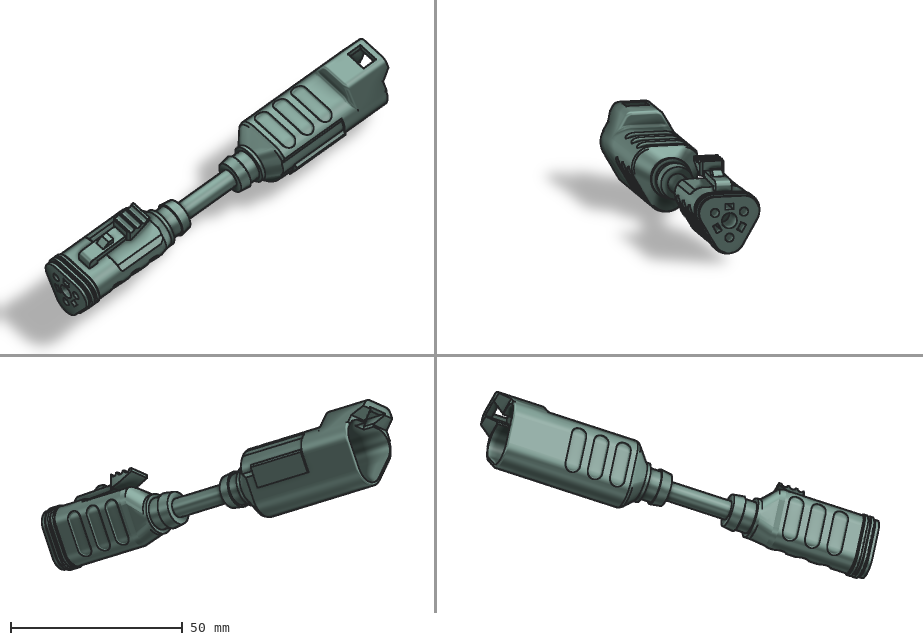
import cadquery as cq
import math


cable_diameter = 5.7
neck_diameter = 9.6
collar_diameter = 12.0
flange_diameter = 10.8
flange_tip_diameter = 9.8
collar_length = 1.2
flange_length = 3.3

corner_distance = 5.0
plug_corner_radius = 4.8
socket_corner_radius = 6.1
plug_center_z = 1.7
flat_distance = corner_distance / 2

plug_body_start = 5.0
plug_body_end = 29.6
plug_shoulder_end = 31.3
plug_taper_end = 35.7
plug_flange_start = 40.8
shoulder_inset = 0.42

seal_ring_starts = (1.8, 3.7)
seal_ring_width = 1.0
seal_ring_rise = 0.4
lip_length = 1.2
lip_inset = 0.1
seal_groove_depth = 0.5

face_hole_depth = 9.6
center_hole_diameter = 4.5
contact_hole_diameter = 2.5
key_slot_width = 2.5
key_slot_height = 1.7
key_slot_distance = 4.2

step_start = 14.2
step_z = 7.9
step_flat_width = 12.7
step_slope_width = 3.6
step_slope_angle = 27
step_corner_radius = 0.7

latch_top_z = 15.2
latch_arm_width = 4.8
latch_foot_start = 7.0
latch_foot_end = 10.3
latch_foot_z = 8.6
latch_foot_top_z = 10.0
latch_foot_radius = 1.5
latch_arm_front_z = 12.0
latch_arm_back_z = 12.4
latch_arm_bend = 19.6
latch_arm_bend_z = 10.5

catch_width = 3.1
catch_front = 13.2
catch_crest = 15.3
catch_back = 17.1
catch_base_z = 11.4
catch_slope_z = 12.2
catch_top_z = 13.7

latch_pad_width = 7.2
latch_pad_start = 21.0
latch_pad_heel = 22.1
latch_pad_belly = 24.9
latch_pad_end = 29.4
latch_pad_bottom_z = 10.9
latch_pad_belly_z = 12.0
latch_pad_tip_z = 14.2
latch_pad_chamfer = 0.7
first_tooth_groove = 22.6
tooth_pitch = 2.5
tooth_groove_radius = 1.0
tooth_groove_count = 3

total_length = 119.5
overall_width = 21.2
socket_half_width = corner_distance * math.cos(math.radians(30)) + socket_corner_radius
socket_face = 116.2
socket_body_start = 77.1
socket_shoulder_start = 76.2
socket_taper_start = 72.2
socket_flange_end = 67.2
socket_edge_radius = 0.6
cavity_depth = 15.8
cavity_wall = 1.0

hood_start = 104.1
hood_top_z = 13.4
hood_lip_z = 10.8
hood_under_z = 8.2
hood_side_radius = 2.5
hood_back_radius = 1.1
hood_base_radius = 1.1
hood_roof_thickness = 2.0
window_start = 112.6
window_end = 117.5
window_width = 6.9
channel_bottom_width = 4.0
channel_bottom_z = 8.6

grip_pitch = 7.0
grip_count = 3
grip_width = 4.5
grip_depth = 0.6
grip_edge_radius = 0.5
side_grip_length = 13.9
top_grip_length = 15.7
plug_first_grip = 12.0
socket_first_grip = 81.3

tag_start = 80.3
tag_end = 99.2
tag_recess_x = 9.0
tag_recess_depth = 0.7
tag_rise = 0.6
tag_bottom = -0.8
tag_outer_x = overall_width - socket_half_width

selection_margin = 0.1
side_angle = 120


def at_y(y):
    """Work plane facing along Y, with X across and Z up; a negative extrusion runs toward +Y."""
    return cq.Workplane("XZ", origin=(0, y, 0))


def polar(distance, angle, center_z):
    a = math.radians(angle)
    return (distance * math.cos(a), center_z + distance * math.sin(a))


def draw_triangle(plane, center_z, radius):
    """Rounded triangle drawn from the right end of its top side, all the way round."""
    for i, corner_angle in enumerate((30, -90, -210)):
        cx, cz = polar(corner_distance, corner_angle, center_z)
        points = []
        for turn in (60, 0, -60):
            dx, dz = polar(radius, corner_angle + turn, 0)
            points.append((cx + dx, cz + dz))
        plane = plane.moveTo(*points[0]) if i == 0 else plane.lineTo(*points[0])
        plane = plane.threePointArc(points[1], points[2])
    return plane.close()


def draw_round(plane, diameter):
    """Circle split into six arcs so that it pairs with the rounded triangle."""
    radius = diameter / 2
    plane = plane.moveTo(*polar(radius, 75, 0))
    arc_ends = (75, -15, -45, -135, -165, -255, -285)
    for start, end in zip(arc_ends, arc_ends[1:]):
        plane = plane.threePointArc(polar(radius, (start + end) / 2, 0), polar(radius, end, 0))
    return plane.close()


def triangle_prism(center_z, radius, start, end):
    return draw_triangle(at_y(start), center_z, radius).extrude(start - end)


def loft(first, second):
    wires = first.vals() + second.vals()
    return cq.Workplane(cq.Solid.makeLoft(wires, True))


def housing(center_z, radius, face, body, shoulder, taper):
    """Straight body, slightly rounded shoulder, then a taper down to the round collar."""
    solid = triangle_prism(center_z, radius, min(face, body), max(face, body))
    full = draw_triangle(at_y(body), center_z, radius)
    inset = draw_triangle(at_y(shoulder), center_z, radius - shoulder_inset)
    collar = draw_round(at_y(taper), collar_diameter)
    return solid.union(loft(full, inset)).union(loft(inset, collar))


def strain_relief(taper, flange, direction):
    """Collar, neck and tapered flange, running along Y in the given direction."""
    collar_end = taper + direction * collar_length
    tip = flange + direction * flange_length
    profile = [
        (0, taper),
        (collar_diameter / 2, taper),
        (collar_diameter / 2, collar_end),
        (neck_diameter / 2, collar_end),
        (neck_diameter / 2, flange),
        (flange_diameter / 2, flange),
        (flange_tip_diameter / 2, tip),
        (0, tip),
    ]
    return cq.Workplane("XY").polyline(profile).close().revolve(360, (0, 0, 0), (0, 1, 0))


def turn_about_y(solid, angle, center_z):
    return solid.rotate((0, 0, center_z), (0, 1, center_z), angle)


def grip_tool(center_z, radius, y, length):
    """Slot over the top side whose floor follows the housing surface."""
    reach = 2 * radius + corner_distance
    tool = (
        cq.Workplane("XY", origin=(0, y, center_z))
        .slot2D(length, grip_width)
        .extrude(reach)
    )
    core = triangle_prism(center_z, radius - grip_depth, y - grip_width, y + grip_width)
    tool = tool.cut(core)
    return tool.faces("<Z").edges().fillet(grip_edge_radius)


def cut_grips(solid, center_z, radius, first_y, length, angle):
    for i in range(grip_count):
        tool = grip_tool(center_z, radius, first_y + i * grip_pitch, length)
        solid = solid.cut(turn_about_y(tool, angle, center_z))
    return solid


def plug_seal():
    core_radius = plug_corner_radius - seal_groove_depth
    seal = triangle_prism(plug_center_z, core_radius, 0, plug_body_start)
    seal = seal.union(triangle_prism(plug_center_z, plug_corner_radius - lip_inset, 0, lip_length))
    ring_radius = plug_corner_radius + seal_ring_rise
    for start in seal_ring_starts:
        seal = seal.union(triangle_prism(plug_center_z, ring_radius, start, start + seal_ring_width))
    return seal


def cut_plug_face(solid):
    center = at_y(0).center(0, plug_center_z)
    solid = solid.cut(center.circle(center_hole_diameter / 2).extrude(-face_hole_depth))
    for angle in (30, 150, 270):
        hole = at_y(0).center(*polar(corner_distance, angle, plug_center_z))
        solid = solid.cut(hole.circle(contact_hole_diameter / 2).extrude(-face_hole_depth))
    for i in range(3):
        slot = at_y(0).center(0, plug_center_z + key_slot_distance)
        slot = slot.rect(key_slot_width, key_slot_height).extrude(-face_hole_depth)
        solid = solid.cut(turn_about_y(slot, i * side_angle, plug_center_z))
    return solid


def top_step():
    """Material removed above the lowered rear part of the plug, with sloping sides."""
    half_flat = step_flat_width / 2
    edge_x = half_flat + step_slope_width
    edge_z = step_z - step_slope_width * math.tan(math.radians(step_slope_angle))
    section = [
        (-edge_x, edge_z),
        (-half_flat, step_z),
        (half_flat, step_z),
        (edge_x, edge_z),
        (edge_x, latch_top_z),
        (-edge_x, latch_top_z),
    ]
    tool = at_y(step_start).polyline(section).close().extrude(step_start - plug_taper_end)
    floor_edges = cq.selectors.BoxSelector(
        (-edge_x, step_start - selection_margin, edge_z),
        (edge_x, step_start + selection_margin, step_z + selection_margin),
    )
    return tool.edges(floor_edges).fillet(step_corner_radius)


def side_plate(points, width):
    """Outline in Y and Z, thickened evenly about the middle plane."""
    return cq.Workplane("YZ", origin=(-width / 2, 0, 0)).polyline(points).close().extrude(width)


def latch():
    """Sprung arm on a short foot, with a catch on top and a ribbed finger pad at its free end."""
    arm_overlap = latch_pad_start + latch_pad_chamfer
    arm = side_plate(
        [
            (latch_foot_start, latch_foot_z),
            (latch_foot_start, latch_arm_front_z),
            (arm_overlap, latch_arm_back_z),
            (arm_overlap, latch_pad_bottom_z),
            (latch_arm_bend, latch_arm_bend_z),
            (latch_foot_end, latch_foot_top_z),
            (latch_foot_end, latch_foot_z),
        ],
        latch_arm_width,
    )
    foot_corner = cq.selectors.NearestToPointSelector((0, latch_foot_start, latch_arm_front_z))
    arm = arm.edges(foot_corner).fillet(latch_foot_radius)

    catch = side_plate(
        [
            (catch_back, catch_base_z),
            (catch_back, catch_top_z),
            (catch_crest, catch_top_z),
            (catch_front, catch_slope_z),
            (catch_front, catch_base_z),
        ],
        catch_width,
    )

    pad = side_plate(
        [
            (latch_pad_start, latch_top_z),
            (latch_pad_start, latch_pad_bottom_z),
            (latch_pad_heel, latch_pad_bottom_z),
            (latch_pad_belly, latch_pad_belly_z),
            (latch_pad_end, latch_pad_tip_z),
            (latch_pad_end, latch_top_z),
        ],
        latch_pad_width,
    )
    pad = pad.edges("|Z and <Y").chamfer(latch_pad_chamfer)
    for i in range(tooth_groove_count):
        groove = (
            cq.Workplane("YZ", origin=(-latch_pad_width / 2, 0, 0))
            .center(first_tooth_groove + i * tooth_pitch, latch_top_z)
            .circle(tooth_groove_radius)
            .extrude(latch_pad_width)
        )
        pad = pad.cut(groove)
    return arm.union(catch).union(pad)


def plug():
    solid = housing(
        plug_center_z, plug_corner_radius, plug_body_start,
        plug_body_end, plug_shoulder_end, plug_taper_end,
    )
    solid = solid.cut(top_step())
    for angle in (side_angle, -side_angle):
        solid = cut_grips(solid, plug_center_z, plug_corner_radius, plug_first_grip, side_grip_length, angle)
    solid = cut_plug_face(solid.union(plug_seal()))
    return solid.union(latch()).union(strain_relief(plug_taper_end, plug_flange_start, 1))


def hood():
    """Roof whose sides run up from the socket corners, overhanging the socket face."""
    tangent = math.radians(30)
    side_distance = corner_distance + socket_corner_radius

    def side_x(z):
        return (side_distance - z * math.sin(tangent)) / math.cos(tangent)

    base_z = side_distance * math.sin(tangent)
    section = [
        (-side_x(base_z), base_z),
        (side_x(base_z), base_z),
        (side_x(hood_top_z), hood_top_z),
        (-side_x(hood_top_z), hood_top_z),
    ]
    roof = at_y(hood_start).polyline(section).close().extrude(hood_start - total_length)
    roof = roof.edges("|Y and >Z").fillet(hood_side_radius)
    roof = roof.faces("<Y").edges("not <Z").fillet(hood_back_radius)
    overhang = side_plate(
        [
            (total_length, hood_lip_z), (socket_face, hood_under_z),
            (socket_face, 0), (total_length, 0),
        ],
        4 * socket_corner_radius,
    )
    return roof.cut(overhang)


def hood_window():
    """Window through the roof, above a tapering latch channel that runs out under the front lip."""
    roof_underside = hood_top_z - hood_roof_thickness
    half_top = window_width / 2
    half_bottom = channel_bottom_width / 2
    window = (
        cq.Workplane("XY")
        .box(window_width, window_end - window_start, hood_top_z, centered=(True, False, False))
        .translate((0, window_start, roof_underside))
    )
    section = [
        (-half_bottom, 0),
        (half_bottom, 0),
        (half_bottom, channel_bottom_z),
        (half_top, roof_underside),
        (-half_top, roof_underside),
        (-half_bottom, channel_bottom_z),
    ]
    channel = at_y(window_start).polyline(section).close().extrude(window_start - total_length)
    return window.union(channel)


def tag_recess():
    """Shallow recess around the +X corner of the socket, open toward the taper."""
    core_radius = socket_corner_radius - tag_recess_depth
    width = 2 * (tag_outer_x - tag_recess_x)
    height = 4 * socket_corner_radius
    band = (
        cq.Workplane("XY")
        .box(width, tag_end - socket_taper_start, height, centered=(False, False, True))
        .translate((tag_recess_x, socket_taper_start, 0))
    )
    return band.cut(triangle_prism(0, core_radius, socket_taper_start, tag_end))


def tag_plate():
    """Plate standing on the lower +X side, trimmed square at its outer edge."""
    outer = flat_distance + socket_corner_radius + tag_rise
    thickness = 2 * (tag_rise + tag_recess_depth)
    width = socket_corner_radius - tag_bottom
    plate = (
        cq.Workplane("XY")
        .box(width, tag_end - tag_start, thickness, centered=False)
        .translate((-socket_corner_radius, tag_start, outer - thickness))
    )
    plate = turn_about_y(plate, side_angle, 0)
    trim = cq.Workplane("XY").box(2 * tag_outer_x, 2 * total_length, total_length)
    return plate.intersect(trim)


def socket():
    socket_top = flat_distance + socket_corner_radius
    solid = housing(
        0, socket_corner_radius, socket_face,
        socket_body_start, socket_shoulder_start, socket_taper_start,
    )
    solid = solid.faces(">Y").edges().fillet(socket_edge_radius)
    solid = solid.union(hood())
    base_zone = cq.selectors.BoxSelector(
        (-total_length, hood_start - selection_margin, 0),
        (total_length, hood_start + hood_back_radius / 2, socket_top + selection_margin),
    )
    solid = solid.edges(base_zone).fillet(hood_base_radius)
    cavity_start = socket_face - cavity_depth
    solid = solid.cut(triangle_prism(0, socket_corner_radius - cavity_wall, cavity_start, socket_face))
    solid = solid.cut(hood_window())
    solid = cut_grips(solid, 0, socket_corner_radius, socket_first_grip, top_grip_length, 0)
    solid = cut_grips(solid, 0, socket_corner_radius, socket_first_grip, side_grip_length, -side_angle)
    solid = solid.cut(tag_recess()).union(tag_plate())
    return solid.union(strain_relief(socket_taper_start, socket_flange_end, -1))


cable = at_y(plug_flange_start).circle(cable_diameter / 2).extrude(plug_flange_start - socket_flange_end)
result = plug().union(cable).union(socket())